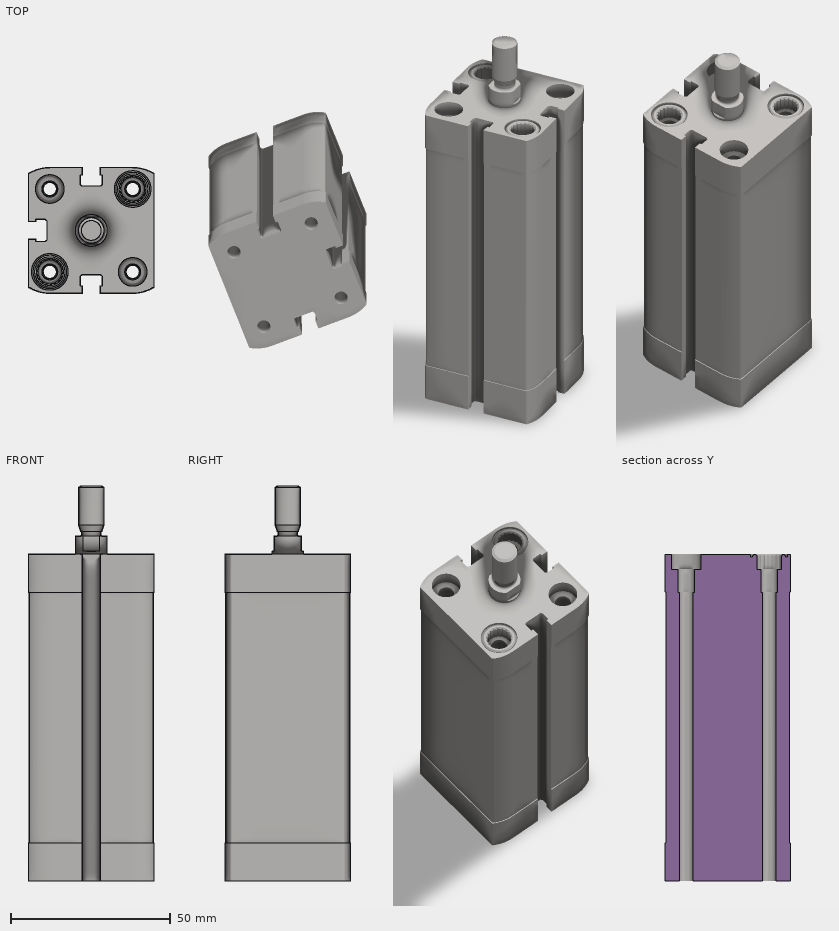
import cadquery as cq
import math

side = 39.5
half_side = side / 2
total_height = 124.0
body_height = 102.6
cap_height = 12.0
barrel_inset = 0.27

corner_radius = 12.7
corner_arc_start = 13.0
cap_edge_fillet = 0.6
barrel_edge_fillet = 0.75

slot_mouth_width = 5.5
slot_inner_width = 6.9
slot_lip_depth = 2.4
slot_depth = 5.8
slot_corner_chamfer = 0.5

hole_spacing = 26.0
hole_offset = hole_spacing / 2
through_diameter = 4.13
thread_diameter = 5.0
counterbore_diameter = 9.0
counterbore_depth = 4.7

sleeve_recess_diameter = 11.5
sleeve_diameter = 10.5
sleeve_bore_diameter = 7.5
spline_diameter = 7.94
spline_count = 18
spline_start_angle = 55
spline_width = 0.4
sleeve_drop = 0.1
sleeve_groove_depth = 0.9
sleeve_chamfer = 0.5

rod_height = total_height - body_height
collar_diameter = 10.0
collar_height = 5.6
wrench_size = 8.6
wrench_flat_start = 1.0
wrench_ledge_slope = 15
neck_diameter = 6.1
neck_fillet = 0.4
neck_top = 7.1
relief_cone_diameter = 6.6
stud_diameter = 8.0
stud_start = 9.1
stud_chamfer_width = 0.9
stud_chamfer_height = 0.5


def profile_prism(inset, edge_fillet, z_bottom, height):
    """Square prism with arced corners, every face moved inwards by the inset."""
    half = half_side - inset
    radius = corner_radius - inset
    reach = half - corner_arc_start
    corner_y = half - radius + math.sqrt(radius**2 - reach**2)
    middle_angle = math.asin(reach / radius) / 2
    middle_x = corner_arc_start + radius * math.sin(middle_angle)
    middle_y = half - radius + radius * math.cos(middle_angle)
    return (
        cq.Workplane("XY", origin=(0, 0, z_bottom))
        .moveTo(-corner_arc_start, half)
        .lineTo(corner_arc_start, half)
        .threePointArc((middle_x, middle_y), (half, corner_y))
        .lineTo(half, -corner_y)
        .threePointArc((middle_x, -middle_y), (corner_arc_start, -half))
        .lineTo(-corner_arc_start, -half)
        .threePointArc((-middle_x, -middle_y), (-half, -corner_y))
        .lineTo(-half, corner_y)
        .threePointArc((-middle_x, middle_y), (-corner_arc_start, half))
        .close()
        .extrude(height)
        .edges("|Z and (<X or >X)")
        .fillet(edge_fillet)
    )


def sensor_slot(angle):
    """T-slot cutter opening towards +Y, turned about Z by the angle."""
    mouth = cq.Workplane("XY").box(
        slot_mouth_width, slot_depth, body_height, centered=(True, False, False)
    )
    inner = (
        cq.Workplane("XY")
        .box(slot_inner_width, slot_depth - slot_lip_depth, body_height, centered=(True, False, False))
        .edges("|Z and <Y")
        .chamfer(slot_corner_chamfer)
    )
    return (
        mouth.union(inner)
        .translate((0, half_side - slot_depth, 0))
        .rotate((0, 0, 0), (0, 0, 1), angle)
    )


def drilled_hole(x, y):
    """Through hole that widens to the thread diameter inside the upper cap."""
    drill = cq.Workplane("XY").center(x, y).circle(through_diameter / 2).extrude(body_height)
    thread = (
        cq.Workplane("XY", origin=(x, y, body_height - cap_height))
        .circle(thread_diameter / 2)
        .extrude(cap_height)
    )
    return drill.union(thread)


def counterbore(x, y):
    """Plain flat-bottomed counterbore cutter."""
    return (
        cq.Workplane("XY", origin=(x, y, body_height - counterbore_depth))
        .circle(counterbore_diameter / 2)
        .extrude(counterbore_depth)
    )


def sleeve_cut(x, y):
    """Socket with a chamfered rim, just below the face and inside a ring groove."""
    rim = -sleeve_drop
    rim_edge = rim - sleeve_chamfer
    bore_radius = sleeve_bore_diameter / 2
    sleeve_radius = sleeve_diameter / 2
    recess_radius = sleeve_recess_diameter / 2
    return (
        cq.Workplane("XZ")
        .moveTo(0, 0)
        .lineTo(recess_radius, 0)
        .lineTo(recess_radius, -sleeve_groove_depth)
        .lineTo(sleeve_radius, -sleeve_groove_depth)
        .lineTo(sleeve_radius, rim_edge)
        .lineTo(sleeve_radius - sleeve_chamfer, rim)
        .lineTo(bore_radius + sleeve_chamfer, rim)
        .lineTo(bore_radius, rim_edge)
        .lineTo(bore_radius, -counterbore_depth)
        .lineTo(0, -counterbore_depth)
        .close()
        .revolve(360, (0, 0, 0), (0, 1, 0))
        .translate((x, y, body_height))
    )


def spline_cut(x, y):
    """Ring of narrow grooves in the socket wall."""
    grooves = (
        cq.Workplane("XY", origin=(0, 0, body_height - counterbore_depth))
        .polarArray(spline_diameter / 4, spline_start_angle, 360, spline_count)
        .rect(spline_diameter / 2, spline_width)
        .extrude(counterbore_depth)
    )
    return grooves.translate((x, y, 0))


def make_housing():
    body = profile_prism(0, cap_edge_fillet, 0, cap_height)
    barrel_height = body_height - 2 * cap_height
    body = body.union(profile_prism(barrel_inset, barrel_edge_fillet, cap_height, barrel_height))
    body = body.union(profile_prism(0, cap_edge_fillet, body_height - cap_height, cap_height))
    for angle in (0, 90, 180):
        body = body.cut(sensor_slot(angle))
    for x in (-hole_offset, hole_offset):
        for y in (-hole_offset, hole_offset):
            body = body.cut(drilled_hole(x, y))
            if x == y:
                body = body.cut(sleeve_cut(x, y)).cut(spline_cut(x, y))
            else:
                body = body.cut(counterbore(x, y))
    return body


def wrench_flat_cut():
    """Cutter for the flat on the +Y side; its ledge slopes down towards the outside."""
    flat_y = wrench_size / 2
    outer_y = collar_diameter / 2
    ledge_drop = (outer_y - flat_y) * math.tan(math.radians(wrench_ledge_slope))
    return (
        cq.Workplane("YZ")
        .moveTo(flat_y, wrench_flat_start)
        .lineTo(outer_y, wrench_flat_start - ledge_drop)
        .lineTo(outer_y, collar_height)
        .lineTo(flat_y, collar_height)
        .close()
        .extrude(collar_diameter / 2, both=True)
    )


def make_rod():
    """Collar with two wrench flats, undercut neck and chamfered stud, standing on the body."""
    neck_radius = neck_diameter / 2
    stud_radius = stud_diameter / 2
    rod = (
        cq.Workplane("XZ")
        .moveTo(0, 0)
        .lineTo(collar_diameter / 2, 0)
        .lineTo(collar_diameter / 2, collar_height)
        .lineTo(neck_radius + neck_fillet, collar_height)
        .radiusArc((neck_radius, collar_height + neck_fillet), neck_fillet)
        .lineTo(neck_radius, neck_top - neck_fillet)
        .tangentArcPoint((relief_cone_diameter / 2, neck_top), relative=False)
        .lineTo(stud_radius, stud_start)
        .lineTo(stud_radius, rod_height - stud_chamfer_height)
        .lineTo(stud_radius - stud_chamfer_width, rod_height)
        .lineTo(0, rod_height)
        .close()
        .revolve(360, (0, 0, 0), (0, 1, 0))
    )
    for angle in (0, 180):
        rod = rod.cut(wrench_flat_cut().rotate((0, 0, 0), (0, 0, 1), angle))
    return rod.translate((0, 0, body_height))


housing = make_housing()
rod = make_rod()

result = cq.Compound.makeCompound([housing.val(), rod.val()])